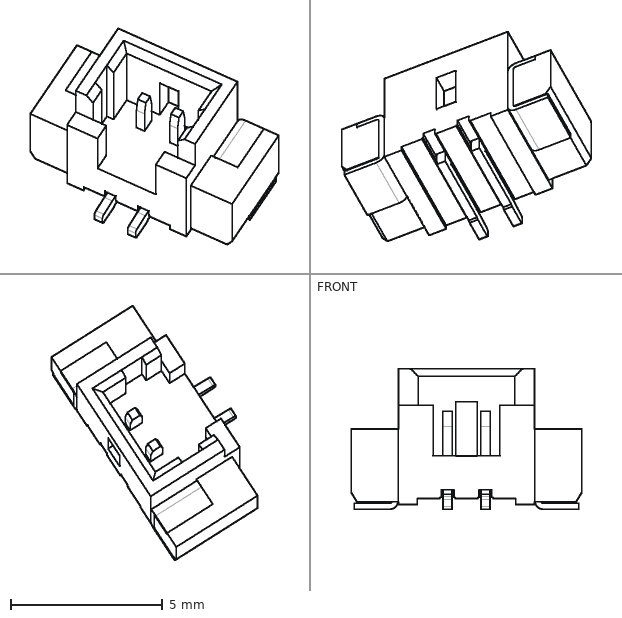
import cadquery as cq


shroud_width = 4.5
shroud_depth = 3.5
shroud_top = 4.65
shroud_bottom = 0.36
upper_depth = 2.9
front_wall_top = 3.45
foot_width = 0.625
foot_bottom = 0.16

floor_height = 1.765
cavity_width = 3.2
rear_wall = 0.6
lead_in = 0.25
key_groove_rear = 1.5
key_groove_front = 2.3
front_opening_width = 2.2
rear_window_width = 0.7
rear_window_top = 3.555

total_width = 7.61
wing_depth = 3.2
wing_bottom = 0.25
wing_top = 2.66
wing_chamfer_x = 0.18
wing_chamfer_z = 0.305

clip_sheet = 0.205
clip_depth = 1.795
clip_top_reach = 1.0
clip_foot_inset = 0.1
clip_bend = 0.3

contact_pitch = 1.25
contact_width = 0.305
post_rear = 0.94
post_depth = 0.48
post_top = 3.25
taper_start = 2.75
taper_inset = 0.09
lead_front = 4.3
lead_bottom = 0.06
lead_top = 0.5
slope_start = 3.62
slope_drop = 0.06
lead_tip_round = 0.11
slot_width = 0.42
slot_top = 0.65
slot_mouth_round = 0.045

half_shroud = shroud_width / 2
half_total = total_width / 2
half_cavity = cavity_width / 2


def block(width, rear, front, bottom, top, center_x=0.0):
    """Box centred on center_x, between two depths forward of the rear face and two heights."""
    size = (width, front - rear, top - bottom)
    center = (center_x, -(rear + front) / 2, (bottom + top) / 2)
    return cq.Workplane("XY").box(*size).translate(center)


def extrude_forward(outline, depth):
    """Extrude an XZ outline from the rear face toward the front."""
    return outline.close().extrude(depth)


def make_shroud():
    """Solid outer form: full-height rear part, lower front wall and two feet."""
    shroud = block(shroud_width, 0, upper_depth, shroud_bottom, shroud_top)
    shroud = shroud.union(block(shroud_width, 0, shroud_depth, shroud_bottom, front_wall_top))
    for side in (-1, 1):
        foot_x = side * (half_shroud - foot_width / 2)
        shroud = shroud.union(block(foot_width, 0, shroud_depth, foot_bottom, shroud_bottom, foot_x))
    return shroud


def make_cavity():
    """Space for the plug, with a key groove in each side wall and front and rear openings."""
    groove_width = cavity_width + 2 * lead_in
    cavity = block(cavity_width, rear_wall, upper_depth, floor_height, shroud_top)
    key_grooves = block(groove_width, key_groove_rear, key_groove_front, floor_height, shroud_top)
    front_opening = block(front_opening_width, upper_depth, shroud_depth, floor_height, shroud_top)
    rear_window = block(rear_window_width, 0, rear_wall, floor_height, rear_window_top)
    return cavity.union(key_grooves).union(front_opening).union(rear_window).union(make_lead_in())


def make_lead_in():
    """Sloped rim on the rear and side walls, open toward the front."""
    rim = (
        cq.Workplane("XZ", origin=(0, lead_in - rear_wall, 0))
        .moveTo(-half_cavity - lead_in, shroud_top)
        .lineTo(-half_cavity, shroud_top - lead_in)
        .lineTo(half_cavity, shroud_top - lead_in)
        .lineTo(half_cavity + lead_in, shroud_top)
    )
    rim = extrude_forward(rim, upper_depth - rear_wall + lead_in)
    rear_slope = (
        cq.Workplane("YZ", origin=(-half_shroud, 0, 0))
        .moveTo(lead_in - rear_wall, shroud_top)
        .lineTo(-rear_wall, shroud_top - lead_in)
        .lineTo(-upper_depth, shroud_top - lead_in)
        .lineTo(-upper_depth, shroud_top)
        .close()
        .extrude(shroud_width)
    )
    return rim.intersect(rear_slope)


def make_right_wing():
    """Wing with a chamfered lower edge and a pocket for the clip, open above the clip's bend."""
    outline = (
        cq.Workplane("XZ")
        .moveTo(half_shroud, wing_bottom)
        .lineTo(half_total - wing_chamfer_x, wing_bottom)
        .lineTo(half_total, wing_bottom + wing_chamfer_z)
        .lineTo(half_total, wing_top)
        .lineTo(half_shroud, wing_top)
    )
    wing = extrude_forward(outline, wing_depth)
    web_center = half_shroud + clip_sheet / 2
    web_slot = block(clip_sheet, 0, clip_depth, 0, wing_top, web_center)
    bend_center = half_shroud + clip_bend / 2
    bend_slot = block(clip_bend, 0, clip_depth, wing_top - clip_sheet, wing_top, bend_center)
    return wing.cut(make_right_clip()).cut(web_slot).cut(bend_slot)


def make_right_clip():
    """C-shaped clip: top flush with the wing, web against the shroud, foot on the mounting plane."""
    top_end = half_shroud + clip_top_reach
    foot_end = half_total - clip_foot_inset
    inner_x = half_shroud + clip_sheet
    inner_bend = clip_bend - clip_sheet
    outline = (
        cq.Workplane("XZ")
        .moveTo(foot_end, 0)
        .lineTo(half_shroud + clip_bend, 0)
        .radiusArc((half_shroud, clip_bend), clip_bend)
        .lineTo(half_shroud, wing_top - clip_bend)
        .radiusArc((half_shroud + clip_bend, wing_top), clip_bend)
        .lineTo(top_end, wing_top)
        .lineTo(top_end, wing_top - clip_sheet)
        .lineTo(half_shroud + clip_bend, wing_top - clip_sheet)
        .radiusArc((inner_x, wing_top - clip_bend), -inner_bend)
        .lineTo(inner_x, clip_bend)
        .radiusArc((half_shroud + clip_bend, clip_sheet), -inner_bend)
        .lineTo(foot_end, clip_sheet)
    )
    return extrude_forward(outline, clip_depth)


def make_contact_slot(center_x):
    """Groove along the underside with a rounded mouth, open at the front and the rear."""
    half = slot_width / 2
    r = slot_mouth_round
    outline = (
        cq.Workplane("XZ")
        .moveTo(center_x - half - r, shroud_bottom)
        .radiusArc((center_x - half, shroud_bottom + r), r)
        .lineTo(center_x - half, slot_top)
        .lineTo(center_x + half, slot_top)
        .lineTo(center_x + half, shroud_bottom + r)
        .radiusArc((center_x + half + r, shroud_bottom), r)
    )
    return extrude_forward(outline, shroud_depth)


def make_contact(center_x):
    """Tapered upright post joined to a lead that runs out under the front wall."""
    post_front = post_rear + post_depth
    tip_top = lead_top - slope_drop
    heel = shroud_depth - lead_bottom
    profile = (
        cq.Workplane("YZ", origin=(center_x - contact_width / 2, 0, 0))
        .moveTo(-post_rear, lead_bottom)
        .lineTo(-post_rear, taper_start)
        .lineTo(-post_rear - taper_inset, post_top)
        .lineTo(-post_front + taper_inset, post_top)
        .lineTo(-post_front, taper_start)
        .lineTo(-post_front, lead_top)
        .lineTo(-slope_start, lead_top)
        .lineTo(-lead_front + lead_tip_round, tip_top)
        .radiusArc((-lead_front, tip_top - lead_tip_round), -lead_tip_round)
        .lineTo(-lead_front, lead_tip_round)
        .radiusArc((-lead_front + lead_tip_round, 0), -lead_tip_round)
        .lineTo(-heel - lead_bottom, 0)
        .lineTo(-heel, lead_bottom)
        .close()
    )
    return profile.extrude(contact_width)


def make_housing():
    housing = make_shroud().cut(make_cavity())
    wing = make_right_wing()
    housing = housing.union(wing).union(wing.mirror("YZ"))
    for side in (-1, 1):
        place = side * contact_pitch / 2
        housing = housing.cut(make_contact_slot(place)).union(make_contact(place))
    return housing


def make_clips():
    """One clip for each wing, as separate solids."""
    clips = []
    for side in (1, -1):
        clip = make_right_clip()
        if side < 0:
            clip = clip.mirror("YZ")
        clips.append(clip.val())
    return clips


housing = make_housing().solids().val()
clips = make_clips()

result = cq.Compound.makeCompound([housing, *clips])